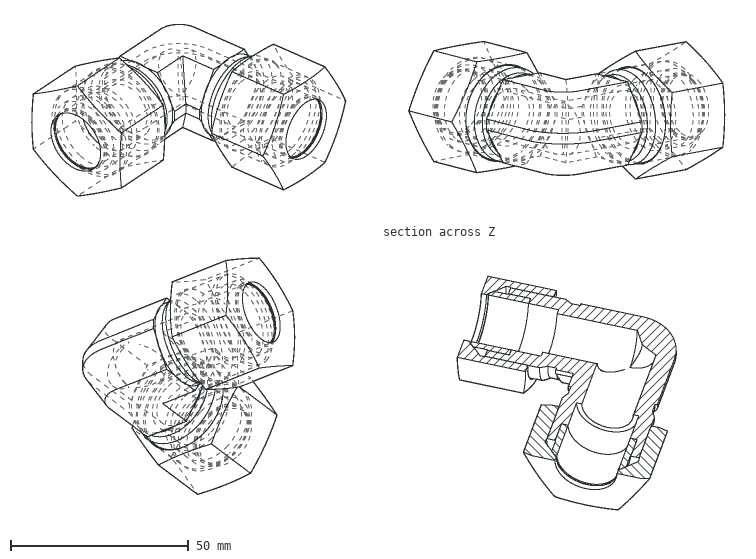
import cadquery as cq
import math


block_height = 24.0
block_width = 26.05
block_top_width = 13.6
block_side_height = 3.1
block_end_at = 18.05

neck_radius = 12.4
neck_length = 2.5
collar_cone_length = 2.05
collar_radius = 13.55
spigot_end_at = 38.7

flow_radius = 7.5
drill_point_angle = 120.0
tube_radius = 9.0
tube_stop_at = 23.5

nut_across_flats = 32.0
nut_end_at = 46.05
nut_length = 20.05
nut_face_radius = 15.9
nut_chamfer_angle = 15.0
nut_mouth_chamfer = 0.3
nut_lip_length = 1.55

ring_radius = 10.95
ring_front_at = 32.25
ring_gap = 0.5

neck_end_at = block_end_at + neck_length
collar_at = neck_end_at + collar_cone_length
nut_start_at = nut_end_at - nut_length
nut_corner_radius = nut_across_flats / math.sqrt(3)
nut_chamfer_length = (nut_corner_radius - nut_face_radius) * math.tan(math.radians(nut_chamfer_angle))
nut_lip_at = nut_end_at - nut_lip_length
nut_seat_start_at = nut_lip_at - (collar_radius - tube_radius)
ring_back_at = nut_lip_at - ring_gap
ring_shoulder_at = nut_lip_at - (ring_radius - tube_radius)
drill_point_length = flow_radius / math.tan(math.radians(drill_point_angle / 2))

arm_planes = [
    cq.Plane(origin=(0, 0, 0), xDir=(0, 1, 0), normal=(1, 0, 0)),
    cq.Plane(origin=(0, 0, 0), xDir=(0, 0, 1), normal=(0, -1, 0)),
]


def turned(plane, profile):
    """Revolve a closed (radius, distance along the arm) profile about the axis of an arm."""
    lengthwise = cq.Plane(origin=plane.origin, xDir=plane.xDir, normal=-plane.yDir)
    return cq.Workplane(lengthwise).polyline(profile).close().revolve(360, (0, 0), (0, 1))


def make_block():
    """Two bevelled arms, mitred inside the bend and swept round its outside."""
    half_width, half_height = block_width / 2, block_height / 2
    half_top, half_side = block_top_width / 2, block_side_height / 2
    right_edge = [
        (half_top, -half_height),
        (half_width, -half_side),
        (half_width, half_side),
        (half_top, half_height),
    ]
    left_edge = [(-across, -up) for across, up in right_edge]
    section = right_edge + left_edge
    x_arm = cq.Workplane("YZ").polyline(section).close().extrude(block_end_at)
    y_arm = cq.Workplane("XZ").polyline(section).close().extrude(block_end_at)
    half_section = [(0, -half_height), *right_edge, (0, half_height)]
    outer_bend = cq.Workplane("YZ").polyline(half_section).close().revolve(90, (0, 0), (0, 1))
    return x_arm.union(y_arm).union(outer_bend)


def make_spigot(plane):
    """Neck, cone and collar that carry the nut at the end of an arm."""
    return turned(plane, [
        (0, block_end_at),
        (neck_radius, block_end_at),
        (neck_radius, neck_end_at),
        (collar_radius, collar_at),
        (collar_radius, spigot_end_at),
        (0, spigot_end_at),
    ])


def make_bore(plane):
    """Stepped bore: ring seat, tube socket, and flow hole with a drill point past the bend."""
    return turned(plane, [
        (0, -drill_point_length),
        (flow_radius, 0),
        (flow_radius, tube_stop_at),
        (tube_radius, tube_stop_at),
        (tube_radius, ring_front_at),
        (ring_radius, ring_front_at),
        (ring_radius, spigot_end_at),
        (0, spigot_end_at),
    ])


def make_elbow():
    elbow = make_block()
    for plane in arm_planes:
        elbow = elbow.union(make_spigot(plane))
    for plane in arm_planes:
        elbow = elbow.cut(make_bore(plane))
    return elbow


def make_nut(plane):
    """Hexagon nut with chamfered corners, a clamping seat and a lip round the tube."""
    hexagon = (
        cq.Workplane(plane)
        .workplane(offset=nut_start_at)
        .polygon(6, 2 * nut_corner_radius)
        .extrude(nut_length)
    )
    chamfered_blank = turned(plane, [
        (0, nut_start_at),
        (nut_face_radius, nut_start_at),
        (nut_corner_radius, nut_start_at + nut_chamfer_length),
        (nut_corner_radius, nut_end_at - nut_chamfer_length),
        (nut_face_radius, nut_end_at),
        (0, nut_end_at),
    ])
    cavity = turned(plane, [
        (0, nut_start_at),
        (collar_radius + nut_mouth_chamfer, nut_start_at),
        (collar_radius, nut_start_at + nut_mouth_chamfer),
        (collar_radius, nut_seat_start_at),
        (tube_radius, nut_lip_at),
        (tube_radius, nut_end_at),
        (0, nut_end_at),
    ])
    return hexagon.intersect(chamfered_blank).cut(cavity)


def make_clamping_ring(plane):
    """Sleeve round the tube, from its seat in the elbow to the conical seat in the nut."""
    return turned(plane, [
        (tube_radius, ring_front_at),
        (ring_radius, ring_front_at),
        (ring_radius, ring_shoulder_at),
        (tube_radius + ring_gap, ring_back_at),
        (tube_radius, ring_back_at),
    ])


elbow = make_elbow()
nuts = [make_nut(plane) for plane in arm_planes]
clamping_rings = [make_clamping_ring(plane) for plane in arm_planes]

result = cq.Compound.makeCompound([
    elbow.val(),
    *[nut.val() for nut in nuts],
    *[ring.val() for ring in clamping_rings],
])